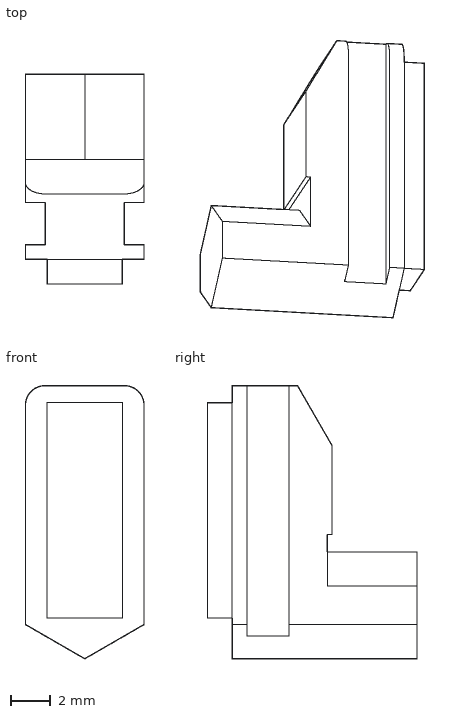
import cadquery as cq
import math

width = 6.0
height = 13.8
body_depth = 5.05
corner_radius = 1.0
half_width = width / 2

slope_angle = 30.0
slope_rise = half_width * math.tan(math.radians(slope_angle))

pad_width = 3.8
pad_height = 10.88
pad_thickness = 1.25
pad_bottom = 2.06

overall_depth = 10.6
foot_end = overall_depth - pad_thickness
foot_ridge = 5.4
foot_eave = foot_ridge - slope_rise

slant_angle = 60.0
slant_bottom = 10.78
slant_run = (height - slant_bottom) / math.tan(math.radians(slant_angle))

relief_depth = 0.24
relief_top = 6.27

groove_depth = 1.0
groove_start = 0.75
groove_width = 2.12


def make_body():
    """Rounded-top, V-bottomed block with the slanted rear edge and rear relief."""
    front_outline = (
        cq.Workplane("XZ")
        .moveTo(0, 0)
        .lineTo(half_width, slope_rise)
        .lineTo(half_width, height - corner_radius)
        .radiusArc((half_width - corner_radius, height), -corner_radius)
        .lineTo(corner_radius - half_width, height)
        .radiusArc((-half_width, height - corner_radius), -corner_radius)
        .lineTo(-half_width, slope_rise)
        .close()
        .extrude(-body_depth)
    )
    side_outline = (
        cq.Workplane("YZ")
        .polyline([
            (0, 0),
            (body_depth - relief_depth, 0),
            (body_depth - relief_depth, relief_top),
            (body_depth, relief_top),
            (body_depth, slant_bottom),
            (body_depth - slant_run, height),
            (0, height),
        ])
        .close()
        .extrude(half_width, both=True)
    )
    return front_outline.intersect(side_outline)


def make_foot():
    """Six-sided bar running from the front face to the rear end."""
    return (
        cq.Workplane("XZ")
        .polyline([
            (0, 0),
            (half_width, slope_rise),
            (half_width, foot_eave),
            (0, foot_ridge),
            (-half_width, foot_eave),
            (-half_width, slope_rise),
        ])
        .close()
        .extrude(-foot_end)
    )


def make_pad():
    """Rectangular pad standing out from the front face."""
    return cq.Workplane("XY").box(
        pad_width, pad_thickness, pad_height, centered=(True, False, False)
    ).translate((0, -pad_thickness, pad_bottom))


def make_groove(side):
    """Cutter for the groove on one side (-1 or +1 along X)."""
    groove_center = side * (half_width - groove_depth / 2)
    return cq.Workplane("XY").box(
        groove_depth, groove_width, height, centered=(True, False, False)
    ).translate((groove_center, groove_start, 0))


result = make_body().union(make_foot()).union(make_pad())
for side in (-1, 1):
    result = result.cut(make_groove(side))